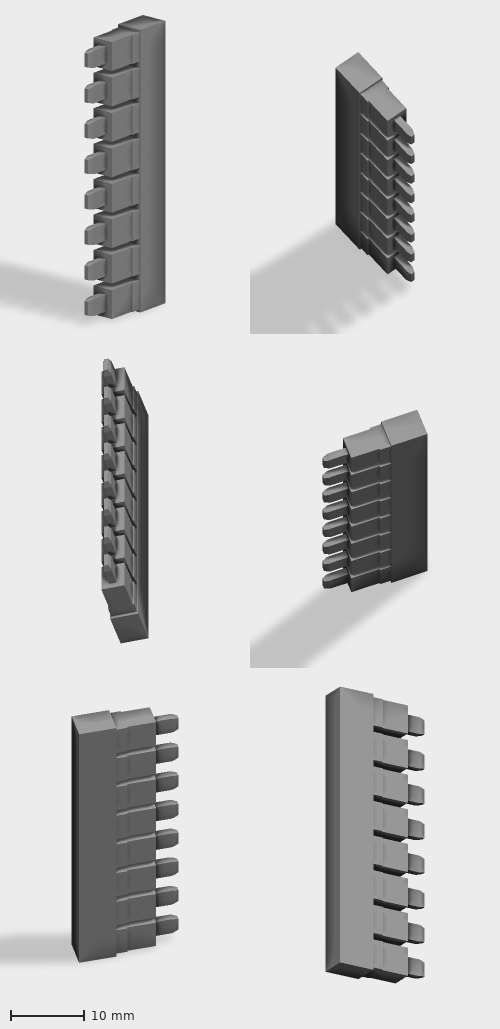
import cadquery as cq

total_width = 4.0
total_depth = 14.5
total_height = 40.7

strip_depth = 5.3
shoulder_depth = 1.6
housing_depth = 4.1
pin_length = total_depth - strip_depth - shoulder_depth - housing_depth

pole_height = 4.15
shoulder_width = 3.7
housing_width = 3.3
pin_width = 1.05
pin_height = 2.5

pole_count = 8
end_margin = 0.4
pole_pitch = (total_height - 2 * end_margin - pole_height) / (pole_count - 1)

tip_width = 0.55
tip_height = 2.0
side_taper_length = 0.7
top_taper_length = 1.0

back_y = total_depth / 2
strip_front_y = back_y - strip_depth
shoulder_front_y = strip_front_y - shoulder_depth
housing_front_y = shoulder_front_y - housing_depth
tip_y = housing_front_y - pin_length


def block(width, height, front_y, rear_y):
    """Box centred on X and Z, spanning front_y to rear_y."""
    depth = rear_y - front_y
    return cq.Workplane("XY").box(width, depth, height).translate((0, front_y + depth / 2, 0))


def pin_outline(root_size, tip_size, taper_length):
    """Points of a tapered pin as (distance across, Y), from the housing to the tip."""
    taper_start_y = tip_y + taper_length
    left_side = [
        (-root_size / 2, housing_front_y),
        (-root_size / 2, taper_start_y),
        (-tip_size / 2, tip_y),
    ]
    right_side = [(-across, y) for across, y in reversed(left_side)]
    return left_side + right_side


def make_pin():
    """Flat pin: the common volume of its XY and YZ outlines."""
    plan_outline = pin_outline(pin_width, tip_width, side_taper_length)
    side_outline = [(y, z) for z, y in pin_outline(pin_height, tip_height, top_taper_length)]
    plan = cq.Workplane("XY").polyline(plan_outline).close().extrude(pin_height / 2, both=True)
    side = cq.Workplane("YZ").polyline(side_outline).close().extrude(pin_width / 2, both=True)
    return plan.intersect(side)


def make_pole():
    """Shoulder, housing and pin of one pole, centred on Z = 0."""
    shoulder = block(shoulder_width, pole_height, shoulder_front_y, strip_front_y)
    housing = block(housing_width, pole_height, housing_front_y, shoulder_front_y)
    return shoulder.union(housing).union(make_pin())


result = block(total_width, total_height, strip_front_y, back_y)
pole = make_pole()
for index in range(pole_count):
    pole_z = (index - (pole_count - 1) / 2) * pole_pitch
    result = result.union(pole.translate((0, 0, pole_z)))